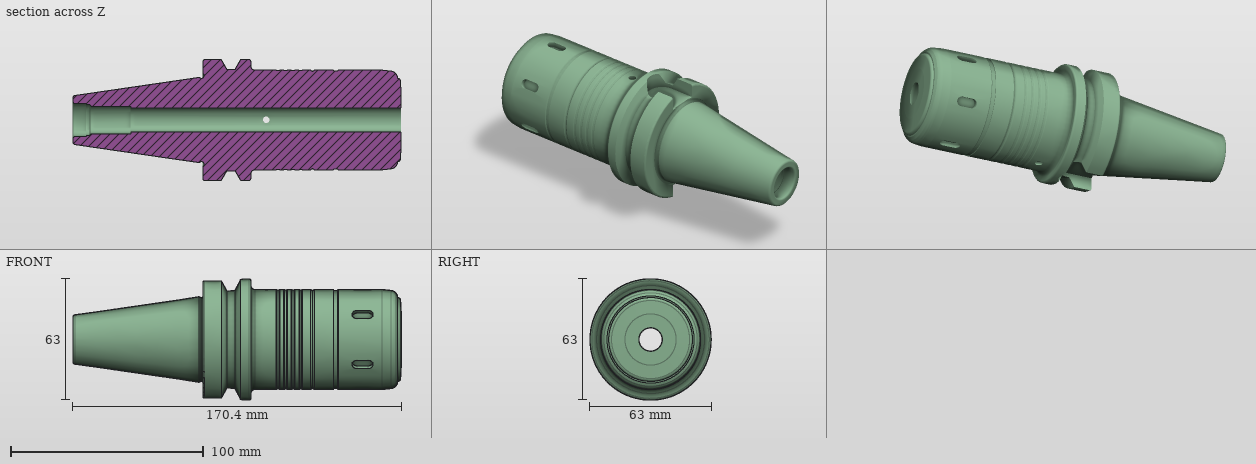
import cadquery as cq
import math


GAUGE_DIA = 44.45
TAPER_RATIO = 7 / 24
SHANK_LENGTH = 65.4
SHANK_ROUNDING = 1.2
NECK_DIA = 43.5
NECK_CONE_END = 1.1
NECK_FILLET = 1.0
FACE_RECESS_DIA = 47.5
FACE_RECESS_DEPTH = 0.4

FLANGE_DIA = 63.0
FLANGE_START = 2.0
FLANGE_END = 27.0
FLANGE_ROUNDING = 1.0
GRIP_CENTER = 16.6
GRIP_WIDTH = 10.0
GRIP_DIA = 53.0
GRIP_WALL_ANGLE = 30.0

KEY_WIDTH = 16.1
KEY_FLOOR = 23.0
KEY_END = 23.3

BODY_DIA = 52.0
BODY_FILLET = 2.0
RELIEF_DIA = 51.0
RELIEF_DEPTH = (BODY_DIA - RELIEF_DIA) / 2
RING_GROOVE_FIRST = 41.0
RING_GROOVE_PITCH = 3.93
RING_GROOVE_COUNT = 4
RING_GROOVE_DIA = 51.6
RING_GROOVE_WIDTH = 2.0
RING_GROOVE_FLOOR = 1.0
V_GROOVE_CENTER = 58.9
V_GROOVE_WIDTH = 2.0
V_GROOVE_DEPTH = 0.7
NUT_GAP_START = 69.8
NUT_START = 71.8
NUT_TAPER_START = 95.0
NUT_ROUND_START = 99.5
NUT_ROUND_RADIUS = 4.0
NUT_ROUND_END = 102.1
NUT_BEVEL_RADIUS = 24.2
NUT_END = 103.1
NUT_END_RADIUS = 22.6

CAP_DIA = 43.5
CAP_END = 104.6
CAP_ROUNDING = CAP_END - NUT_END
SLEEVE_DIA = 26.6
SLEEVE_END = 105.0

WRENCH_COUNT = 6
WRENCH_CENTER = 84.85
WRENCH_LENGTH = 10.8
WRENCH_WIDTH = 5.0
WRENCH_DEPTH = 3.0

THROUGH_DIA = 12.0
THREAD_DIA = 14.0
THREAD_DEPTH = 30.0
MOUTH_DIA = 17.0
MOUTH_DEPTH = 7.0
MOUTH_ROUNDING = 1.0
COLLAR_DIA = 16.0
COLLAR_LENGTH = 1.5

CROSS_X = 35.0
CROSS_DIA = 3.4
CROSS_ENTRY_DIA = 4.0
CROSS_ENTRY_DEPTH = 2.0


def revolve(profile):
    """Revolve a closed XY profile about the X axis."""
    return profile.close().revolve(360, (0, 0, 0), (1, 0, 0))


def make_shank_and_flange():
    """Taper, undercut neck and flange blank with a shallow face recess."""
    small_radius = (GAUGE_DIA - SHANK_LENGTH * TAPER_RATIO) / 2
    taper_angle = math.atan(TAPER_RATIO / 2)
    tangent_length = SHANK_ROUNDING * math.tan((math.pi / 2 - taper_angle) / 2)
    taper_start = tangent_length * math.cos(taper_angle) - SHANK_LENGTH
    taper_start_radius = small_radius + tangent_length * math.sin(taper_angle)
    neck = NECK_DIA / 2
    recess_floor = FLANGE_START + FACE_RECESS_DEPTH
    rim = FLANGE_DIA / 2
    body = BODY_DIA / 2
    profile = (
        cq.Workplane("XY")
        .moveTo(-SHANK_LENGTH, 0)
        .lineTo(-SHANK_LENGTH, small_radius - tangent_length)
        .radiusArc((taper_start, taper_start_radius), SHANK_ROUNDING)
        .lineTo(0, GAUGE_DIA / 2)
        .lineTo(NECK_CONE_END, neck)
        .lineTo(recess_floor - NECK_FILLET, neck)
        .radiusArc((recess_floor, neck + NECK_FILLET), -NECK_FILLET)
        .lineTo(recess_floor, FACE_RECESS_DIA / 2)
        .lineTo(FLANGE_START, FACE_RECESS_DIA / 2)
        .lineTo(FLANGE_START, rim - FLANGE_ROUNDING)
        .radiusArc((FLANGE_START + FLANGE_ROUNDING, rim), FLANGE_ROUNDING)
        .lineTo(FLANGE_END - FLANGE_ROUNDING, rim)
        .radiusArc((FLANGE_END, rim - FLANGE_ROUNDING), FLANGE_ROUNDING)
        .lineTo(FLANGE_END, body + BODY_FILLET)
        .radiusArc((FLANGE_END + BODY_FILLET, body), -BODY_FILLET)
        .lineTo(FLANGE_END + BODY_FILLET, 0)
    )
    return revolve(profile)


def make_body_and_nut():
    """Cylindrical body, nut with a rounded nose, front cap and sleeve end."""
    body = BODY_DIA / 2
    relief = RELIEF_DIA / 2
    cap = CAP_DIA / 2
    profile = (
        cq.Workplane("XY")
        .moveTo(FLANGE_END, 0)
        .lineTo(FLANGE_END, body)
        .lineTo(NUT_GAP_START, body)
        .lineTo(NUT_GAP_START, relief)
        .lineTo(NUT_START, relief)
        .lineTo(NUT_START + RELIEF_DEPTH, body)
        .lineTo(NUT_TAPER_START, body)
        .lineTo(NUT_ROUND_START, relief)
        .radiusArc((NUT_ROUND_END, NUT_BEVEL_RADIUS), NUT_ROUND_RADIUS)
        .lineTo(NUT_END, NUT_END_RADIUS)
        .lineTo(NUT_END, cap)
        .radiusArc((CAP_END, cap - CAP_ROUNDING), CAP_ROUNDING)
        .lineTo(SLEEVE_END, SLEEVE_DIA / 2)
        .lineTo(SLEEVE_END, 0)
    )
    return revolve(profile)


def make_groove(center, width, floor_width, outer_dia, floor_dia):
    """Ring that cuts a groove with sloping walls, open past the outer diameter."""
    outer = outer_dia / 2
    floor = floor_dia / 2
    clearance = 1.0
    half = width / 2
    profile = (
        cq.Workplane("XY")
        .moveTo(center - half, outer + clearance)
        .lineTo(center - half, outer)
        .lineTo(center - floor_width / 2, floor)
    )
    if floor_width > 0:
        profile = profile.lineTo(center + floor_width / 2, floor)
    profile = profile.lineTo(center + half, outer).lineTo(center + half, outer + clearance)
    return revolve(profile)


def cut_grooves(part):
    """Gripper groove, row of ring grooves and the single V groove."""
    grip_depth = (FLANGE_DIA - GRIP_DIA) / 2
    grip_floor = GRIP_WIDTH - 2 * grip_depth * math.tan(math.radians(GRIP_WALL_ANGLE))
    part = part.cut(make_groove(GRIP_CENTER, GRIP_WIDTH, grip_floor, FLANGE_DIA, GRIP_DIA))
    for index in range(RING_GROOVE_COUNT):
        center = RING_GROOVE_FIRST + index * RING_GROOVE_PITCH
        ring = make_groove(center, RING_GROOVE_WIDTH, RING_GROOVE_FLOOR, BODY_DIA, RING_GROOVE_DIA)
        part = part.cut(ring)
    v_floor_dia = BODY_DIA - 2 * V_GROOVE_DEPTH
    return part.cut(make_groove(V_GROOVE_CENTER, V_GROOVE_WIDTH, 0, BODY_DIA, v_floor_dia))


def cut_key_slots(part):
    """Two round-ended drive slots, open toward the shank."""
    arc_center = KEY_END - KEY_WIDTH / 2
    slot = (
        cq.Workplane("XY", origin=(0, 0, KEY_FLOOR))
        .moveTo(FLANGE_START, -KEY_WIDTH / 2)
        .lineTo(arc_center, -KEY_WIDTH / 2)
        .threePointArc((KEY_END, 0), (arc_center, KEY_WIDTH / 2))
        .lineTo(FLANGE_START, KEY_WIDTH / 2)
        .close()
        .extrude(FLANGE_DIA / 2 - KEY_FLOOR)
    )
    return part.cut(slot).cut(slot.mirror("XY"))


def cut_wrench_slots(part):
    """Flat-bottomed slots spaced evenly around the nut."""
    slot = (
        cq.Workplane("XY", origin=(WRENCH_CENTER, 0, BODY_DIA / 2 - WRENCH_DEPTH))
        .slot2D(WRENCH_LENGTH, WRENCH_WIDTH)
        .extrude(2 * WRENCH_DEPTH)
    )
    for index in range(WRENCH_COUNT):
        part = part.cut(slot.rotate((0, 0, 0), (1, 0, 0), index * 360 / WRENCH_COUNT))
    return part


def cut_bore(part):
    """Rounded mouth, short collar with a 45 degree lead-in, thread bore and through hole along the axis."""
    start = -SHANK_LENGTH
    mouth = MOUTH_DIA / 2
    collar = COLLAR_DIA / 2
    collar_start = start + MOUTH_DEPTH
    collar_end = collar_start + COLLAR_LENGTH
    thread = THREAD_DIA / 2
    through = THROUGH_DIA / 2
    profile = (
        cq.Workplane("XY")
        .moveTo(start, 0)
        .lineTo(start, mouth + MOUTH_ROUNDING)
        .radiusArc((start + MOUTH_ROUNDING, mouth), -MOUTH_ROUNDING)
        .lineTo(collar_start, mouth)
        .lineTo(collar_start, collar)
        .lineTo(collar_end, collar)
        .lineTo(collar_end + collar - thread, thread)
        .lineTo(start + THREAD_DEPTH, thread)
        .lineTo(start + THREAD_DEPTH, through)
        .lineTo(SLEEVE_END, through)
        .lineTo(SLEEVE_END, 0)
    )
    return part.cut(revolve(profile))


def cut_cross_hole(part):
    """Hole through the body along Z, opened up where it meets the surface."""
    top = BODY_DIA / 2
    hole = cq.Workplane("XY", origin=(CROSS_X, 0, -top)).circle(CROSS_DIA / 2).extrude(2 * top)
    entry = (
        cq.Workplane("XY", origin=(CROSS_X, 0, top - CROSS_ENTRY_DEPTH))
        .circle(CROSS_ENTRY_DIA / 2)
        .extrude(CROSS_ENTRY_DEPTH)
    )
    return part.cut(hole).cut(entry).cut(entry.mirror("XY"))


part = make_shank_and_flange().union(make_body_and_nut())
part = cut_grooves(part)
part = cut_key_slots(part)
part = cut_wrench_slots(part)
part = cut_bore(part)
result = cut_cross_hole(part)